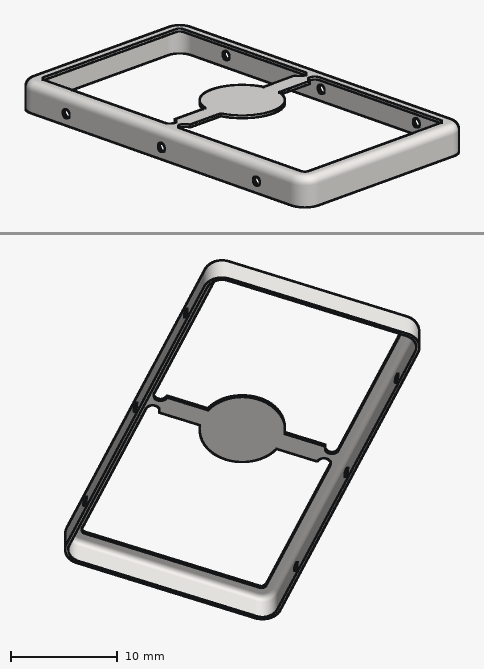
import cadquery as cq

LENGTH = 37.8
WIDTH = 21.6
HEIGHT = 3.0
CORNER_RADIUS = 1.8
TOP_ROUND = 0.8

WALL = 0.3
PLATE_THICKNESS = WALL
CAVITY_RADIUS = CORNER_RADIUS - WALL
CAVITY_ROUND = TOP_ROUND - WALL

RIM = 1.5
WINDOW_LENGTH = LENGTH - 2 * RIM
WINDOW_WIDTH = WIDTH - 2 * RIM
WINDOW_RADIUS = 0.5

DISC_DIAMETER = 8.0
BAR_WIDTH = 2.0
BAR_OVERLAP = (RIM - TOP_ROUND) / 2
NECK_WIDTH = 0.7
NOTCH_RADIUS = (BAR_WIDTH - NECK_WIDTH) / 2

HOLE_DIAMETER = 0.9
HOLE_PITCH = 12.5
HOLE_HEIGHT = 1.2

PLATE_BOTTOM = HEIGHT - PLATE_THICKNESS


def rounded_block(length, width, bottom, height, radius):
    """Block centred on Z with rounded vertical edges."""
    block = cq.Workplane("XY").workplane(offset=bottom).rect(length, width).extrude(height)
    return block.edges("|Z").fillet(radius)


def make_frame():
    """Thin shell, rounded inside and out, with a window through its top plate."""
    frame = rounded_block(LENGTH, WIDTH, 0, HEIGHT, CORNER_RADIUS)
    frame = frame.faces(">Z").edges().fillet(TOP_ROUND)
    cavity = rounded_block(LENGTH - 2 * WALL, WIDTH - 2 * WALL, 0, PLATE_BOTTOM, CAVITY_RADIUS)
    cavity = cavity.faces(">Z").edges().fillet(CAVITY_ROUND)
    window = rounded_block(WINDOW_LENGTH, WINDOW_WIDTH, PLATE_BOTTOM, PLATE_THICKNESS, WINDOW_RADIUS)
    return frame.cut(cavity).cut(window)


def make_bridge():
    """Central disc and the straight bar that carries it."""
    plane = cq.Workplane("XY").workplane(offset=PLATE_BOTTOM)
    bar = plane.rect(BAR_WIDTH, WINDOW_WIDTH + 2 * BAR_OVERLAP).extrude(PLATE_THICKNESS)
    disc = plane.circle(DISC_DIAMETER / 2).extrude(PLATE_THICKNESS)
    return bar.union(disc)


def make_notches():
    """Four round cutters centred on the bar edges and touching the window edges."""
    notch_spacing = WINDOW_WIDTH - 2 * NOTCH_RADIUS
    return (
        cq.Workplane("XY")
        .workplane(offset=PLATE_BOTTOM)
        .rect(BAR_WIDTH, notch_spacing, forConstruction=True)
        .vertices()
        .circle(NOTCH_RADIUS)
        .extrude(PLATE_THICKNESS)
    )


def make_side_holes():
    """Row of round cutters along Y that pierce both long walls."""
    return (
        cq.Workplane("XZ")
        .pushPoints([(step * HOLE_PITCH, HOLE_HEIGHT) for step in (-1, 0, 1)])
        .circle(HOLE_DIAMETER / 2)
        .extrude(WIDTH / 2, both=True)
    )


result = make_frame().union(make_bridge()).cut(make_notches()).cut(make_side_holes())